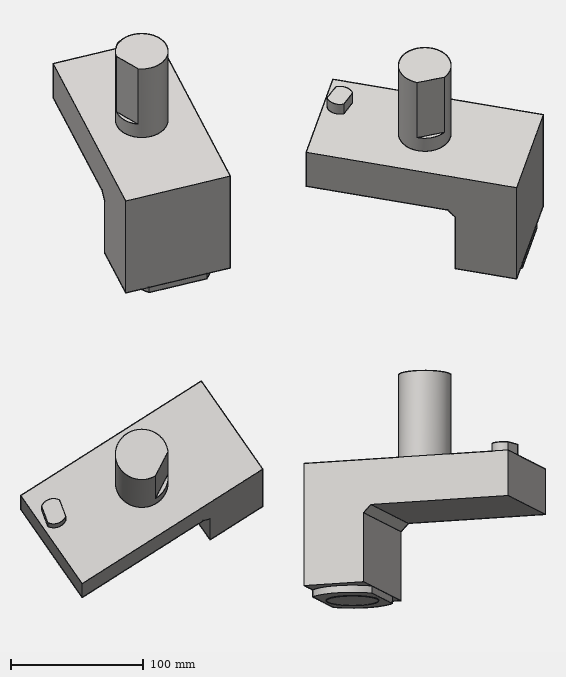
import cadquery as cq

overall_height = 170
body_length = 164.0
body_width = 84.0
beam_height = 35.0
body_height = 94.0
leg_length = 48.0
corner_chamfer = 6.0

shank_diameter = 40.0
shank_height = 70.0
flat_distance = 16.8
flat_length = 56.6
flat_angle = -60

pin_diameter = 20.0
pin_height = 10.0
pin_width = 14.5
pin_x = -69.9
pin_y = 15.1
pin_angle = -14

foot_diameter = 66.3
foot_width = 47.6
foot_face_diameter = 39.8
foot_face_height = 0.5
foot_height = overall_height - shank_height - body_height - foot_face_height

disc_bottom = foot_face_height
leg_bottom = disc_bottom + foot_height
body_top = leg_bottom + body_height
beam_bottom = body_top - beam_height
shank_top = body_top + shank_height

right_x = body_length / 2
leg_left_x = right_x - leg_length
foot_x = right_x - leg_length / 2


def cylinder(diameter, height, x, y, z):
    """Upright cylinder standing on level z."""
    return cq.Workplane("XY", origin=(x, y, z)).circle(diameter / 2).extrude(height)


def two_flat_disc(diameter, width, height, x, y, z, angle=0):
    """Disc cut to a given width by two parallel flats, turned about its axis."""
    band = cq.Workplane("XY").box(width, diameter, height, centered=(True, True, False))
    band = band.rotate((0, 0, 0), (0, 0, 1), angle).translate((x, y, z))
    return cylinder(diameter, height, x, y, z).intersect(band)


def make_body():
    """L-shaped profile with a filled inner corner, extruded across the width."""
    return (
        cq.Workplane("XZ")
        .moveTo(-right_x, body_top)
        .lineTo(right_x, body_top)
        .lineTo(right_x, leg_bottom)
        .lineTo(leg_left_x, leg_bottom)
        .lineTo(leg_left_x, beam_bottom - corner_chamfer)
        .lineTo(leg_left_x - corner_chamfer, beam_bottom)
        .lineTo(-right_x, beam_bottom)
        .close()
        .extrude(body_width / 2, both=True)
    )


def make_shank():
    """Cylinder with a flat that runs down from its top end."""
    cutter = (
        cq.Workplane("XY")
        .box(shank_diameter, shank_diameter, flat_length, centered=(False, True, False))
        .translate((flat_distance, 0, shank_top - flat_length))
        .rotate((0, 0, 0), (0, 0, 1), flat_angle)
    )
    return cylinder(shank_diameter, shank_height, 0, 0, body_top).cut(cutter)


pin = two_flat_disc(pin_diameter, pin_width, pin_height, pin_x, pin_y, body_top, pin_angle)
foot = two_flat_disc(foot_diameter, foot_width, foot_height, foot_x, 0, disc_bottom)
foot_face = cylinder(foot_face_diameter, foot_face_height, foot_x, 0, 0)

result = make_body().union(make_shank()).union(pin).union(foot).union(foot_face)